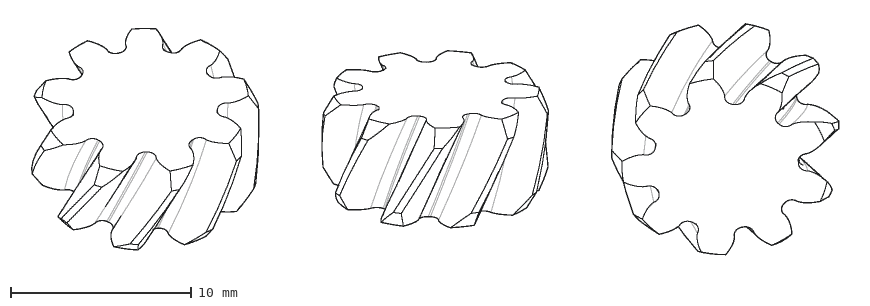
import cadquery as cq
import math

teeth = 9
tip_radius = 6.31
base_radius = 4.57
root_radius = 4.06
flank_start_radius = 4.59
face_width = 6.0
twist = 31.6
top_tooth_angle = 272.1
base_half_tooth = 13.1
chamfer_height = 1.0
chamfer_slope = 30.0
root_land_width = 0.11
flank_points = 6

pitch_angle = 360.0 / teeth
half_land = math.degrees(root_land_width / 2 / root_radius)
chamfer_depth = chamfer_height * math.tan(math.radians(chamfer_slope))


def polar(radius, degrees):
    angle = math.radians(degrees)
    return (radius * math.cos(angle), radius * math.sin(angle))


def half_tooth(radius):
    """Half of the tooth's angle at a radius, following the involute."""
    pressure = math.acos(base_radius / radius)
    return base_half_tooth - math.degrees(math.tan(pressure) - pressure)


def root_fillet_middle(center, side):
    """Middle of the fillet from the root land (tangent) to the flank; side is 1 or -1."""
    fillet_angle = pitch_angle / 2 - half_tooth(flank_start_radius) - half_land
    rise, across = polar(flank_start_radius, fillet_angle)
    rise -= root_radius
    fillet_radius = (rise**2 + across**2) / (2 * rise)
    half_sweep = math.atan2(rise, across)
    middle_out = root_radius + fillet_radius * (1 - math.cos(half_sweep))
    middle_across = fillet_radius * math.sin(half_sweep)
    middle_angle = half_land + math.degrees(math.atan2(middle_across, middle_out))
    return polar(math.hypot(middle_out, middle_across), center + side * middle_angle)


def add_root(outline, center):
    """Draw one gap's filleted root counterclockwise, up to the next flank."""
    half_gap = pitch_angle / 2 - half_tooth(flank_start_radius)
    land_start = polar(root_radius, center - half_land)
    land_end = polar(root_radius, center + half_land)
    next_flank = polar(flank_start_radius, center + half_gap)
    outline = outline.threePointArc(root_fillet_middle(center, -1), land_start)
    outline = outline.threePointArc(polar(root_radius, center), land_end)
    return outline.threePointArc(root_fillet_middle(center, 1), next_flank)


def add_tooth(outline, center):
    """Draw one tooth counterclockwise, from flank start to flank start."""
    step = (tip_radius - flank_start_radius) / (flank_points - 1)
    radii = [flank_start_radius + i * step for i in range(flank_points)]
    rising = [polar(r, center - half_tooth(r)) for r in radii]
    falling = [polar(r, center + half_tooth(r)) for r in reversed(radii)]
    outline = outline.spline(rising[1:], includeCurrent=True)
    outline = outline.threePointArc(polar(tip_radius, center), falling[0])
    return outline.spline(falling[1:], includeCurrent=True)


def helical_gear():
    first_tooth = top_tooth_angle - twist
    start = polar(flank_start_radius, first_tooth - half_tooth(flank_start_radius))
    outline = cq.Workplane("XY").moveTo(*start)
    for i in range(teeth):
        tooth_angle = first_tooth + i * pitch_angle
        outline = add_tooth(outline, tooth_angle)
        outline = add_root(outline, tooth_angle + pitch_angle / 2)
    return outline.close().twistExtrude(face_width, twist)


def chamfered_blank():
    """Round blank with both rims beveled; it trims the tooth ends."""
    end_radius = tip_radius - chamfer_depth
    profile = [
        (0, 0),
        (end_radius, 0),
        (tip_radius, chamfer_height),
        (tip_radius, face_width - chamfer_height),
        (end_radius, face_width),
        (0, face_width),
    ]
    return cq.Workplane("XZ").polyline(profile).close().revolve(360, (0, 0), (0, 1))


result = cq.Workplane(obj=helical_gear().intersect(chamfered_blank()).val().Solids()[0])